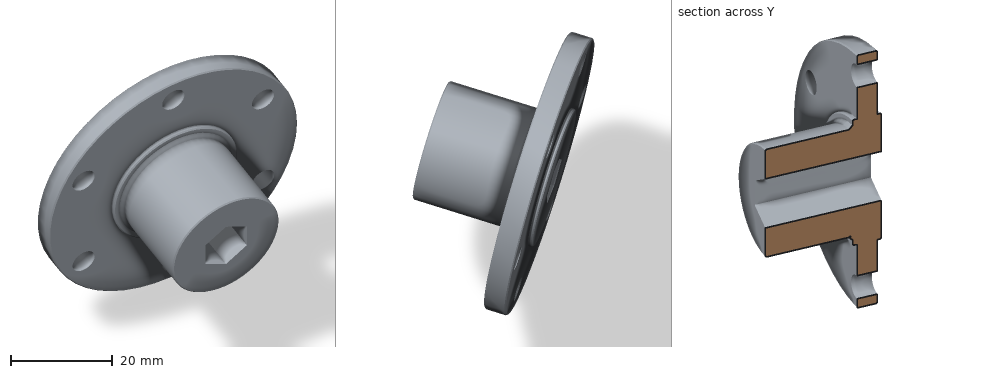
import cadquery as cq
import math

INCH = 25.4
HEX_SIDES = 6

overall_length = 1.0 * INCH
flange_diameter = 2.25 * INCH
flange_start = 0.86
flange_end = 5.4
shoulder_diameter = 1.12 * INCH
shoulder_end = 0.25 * INCH
hub_diameter = 24.4
hub_root_chamfer = 0.03 * INCH
edge_chamfer = 0.01 * INCH

hex_across_flats = 0.375 * INCH
bolt_circle_diameter = 1.875 * INCH
bolt_hole_diameter = 0.201 * INCH
bolt_count = 6


def disc(diameter, start, end):
    """Solid cylinder on the X axis from x = start to x = end."""
    return cq.Workplane("YZ", origin=(start, 0, 0)).circle(diameter / 2).extrude(end - start)


def chamfered_disc(diameter, start, end):
    """Disc with both rims broken by the edge chamfer."""
    return disc(diameter, start, end).edges().chamfer(edge_chamfer)


def hub_barrel():
    """Long barrel of the hub, chamfered at its free end."""
    return disc(hub_diameter, 0, overall_length).faces(">X").edges().chamfer(edge_chamfer)


def root_cone():
    """45 degree cone easing the shoulder face into the hub barrel."""
    hub_radius = hub_diameter / 2
    cone = cq.Solid.makeCone(
        hub_radius + hub_root_chamfer,
        hub_radius,
        hub_root_chamfer,
        pnt=cq.Vector(shoulder_end, 0, 0),
        dir=cq.Vector(1, 0, 0),
    )
    return cq.Workplane(cone)


def hex_bore():
    """Through hexagonal bore with corners pointing up and down."""
    across_corners = hex_across_flats / math.cos(math.pi / HEX_SIDES)
    return (
        cq.Workplane("YZ")
        .polygon(HEX_SIDES, across_corners)
        .extrude(overall_length)
        .rotate((0, 0, 0), (1, 0, 0), 90)
    )


def bolt_holes():
    """Through holes on the flange bolt circle, the first one at the top."""
    return (
        cq.Workplane("YZ")
        .polarArray(bolt_circle_diameter / 2, 90, 360, bolt_count)
        .circle(bolt_hole_diameter / 2)
        .extrude(overall_length)
    )


result = (
    chamfered_disc(shoulder_diameter, 0, shoulder_end)
    .union(chamfered_disc(flange_diameter, flange_start, flange_end))
    .union(hub_barrel())
    .union(root_cone())
    .cut(hex_bore())
    .cut(bolt_holes())
)